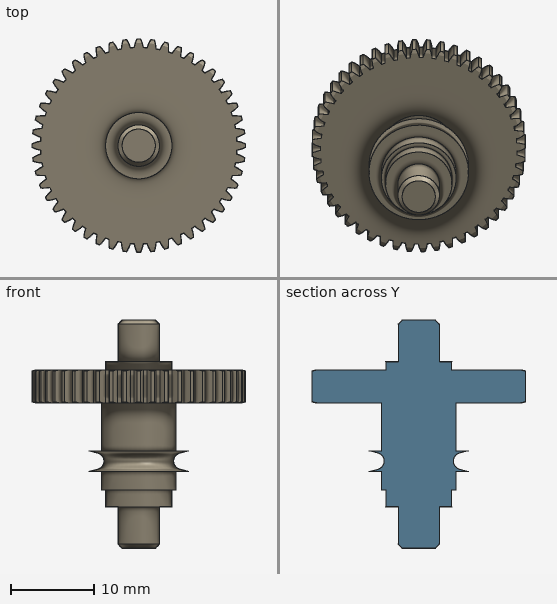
import cadquery as cq
import math

overall_height = 27.5
journal_diameter = 5.0
end_chamfer = 0.5
collar_diameter = 8.0
hub_diameter = 9.0

lower_collar_bottom = 5.0
hub_bottom = 7.0
pulley_bottom = 9.25
pulley_width = 2.5
gear_bottom = 17.5
gear_width = 4.0
upper_collar_height = 1.0
gear_top = gear_bottom + gear_width
upper_collar_top = gear_top + upper_collar_height

pulley_diameter = 12.0
groove_floor_diameter = 8.4
groove_radius = 1.0
flank_angle = math.radians(15)

tooth_count = 48
gear_diameter = 25.72
module = gear_diameter / (tooth_count + 2)
dedendum = 0.5
thickness_allowance = 0.045
pressure_angle = math.radians(20)
tip_radius = gear_diameter / 2
pitch_radius = module * tooth_count / 2
root_radius = pitch_radius - dedendum
base_radius = pitch_radius * math.cos(pressure_angle)
tip_bevel_depth = 0.5
tip_bevel_angle = math.radians(15)


def cylinder(diameter, bottom, top):
    return cq.Workplane("XY").workplane(offset=bottom).circle(diameter / 2).extrude(top - bottom)


def polar(radius, angle):
    return (radius * math.cos(angle), radius * math.sin(angle))


def involute(angle):
    return math.tan(angle) - angle


def half_tooth_angle(radius):
    """Angle from the tooth centreline to its involute flank at a given radius."""
    roll_angle = math.acos(base_radius / radius)
    pitch_thickness = math.pi * module / 2 + thickness_allowance
    pitch_half_angle = pitch_thickness / (2 * pitch_radius)
    return pitch_half_angle + involute(pressure_angle) - involute(roll_angle)


def make_shaft():
    journal = cylinder(journal_diameter, 0, overall_height).faces("<Z or >Z").chamfer(end_chamfer)
    collars = cylinder(collar_diameter, lower_collar_bottom, upper_collar_top)
    hub = cylinder(hub_diameter, hub_bottom, gear_bottom)
    return journal.union(collars).union(hub)


def make_groove_cutter():
    """Ring that cuts the groove out of the pulley."""
    rim_radius = pulley_diameter / 2
    floor_radius = groove_floor_diameter / 2
    middle = pulley_bottom + pulley_width / 2
    tangent_radius = floor_radius + groove_radius * (1 - math.sin(flank_angle))
    tangent_height = groove_radius * math.cos(flank_angle)
    profile = (
        cq.Workplane("XZ")
        .moveTo(rim_radius, pulley_bottom)
        .lineTo(tangent_radius, middle - tangent_height)
        .threePointArc((floor_radius, middle), (tangent_radius, middle + tangent_height))
        .lineTo(rim_radius, pulley_bottom + pulley_width)
        .close()
    )
    return profile.revolve(360, (0, 0, 0), (0, 1, 0))


def make_gear_blank():
    """Disc whose rim is bevelled on both faces across the tooth tips."""
    bevel_radius = tip_radius - tip_bevel_depth
    bevel_height = tip_bevel_depth * math.tan(tip_bevel_angle)
    profile = cq.Workplane("XZ").polyline([
        (0, gear_bottom),
        (bevel_radius, gear_bottom),
        (tip_radius, gear_bottom + bevel_height),
        (tip_radius, gear_top - bevel_height),
        (bevel_radius, gear_top),
        (0, gear_top),
    ]).close()
    return profile.revolve(360, (0, 0, 0), (0, 1, 0))


def make_toothed_prism():
    tooth_pitch = 2 * math.pi / tooth_count
    root_half = half_tooth_angle(root_radius)
    pitch_half = half_tooth_angle(pitch_radius)
    tip_half = half_tooth_angle(tip_radius)
    outline = cq.Workplane("XY").workplane(offset=gear_bottom).moveTo(*polar(root_radius, -root_half))
    for index in range(tooth_count):
        centre = index * tooth_pitch
        next_centre = centre + tooth_pitch
        outline = (
            outline
            .threePointArc(polar(pitch_radius, centre - pitch_half), polar(tip_radius, centre - tip_half))
            .threePointArc(polar(tip_radius, centre), polar(tip_radius, centre + tip_half))
            .threePointArc(polar(pitch_radius, centre + pitch_half), polar(root_radius, centre + root_half))
            .threePointArc(
                polar(root_radius, centre + tooth_pitch / 2),
                polar(root_radius, next_centre - root_half),
            )
        )
    return outline.close().extrude(gear_width)


shaft = make_shaft()
pulley = cylinder(pulley_diameter, pulley_bottom, pulley_bottom + pulley_width)
gear = make_toothed_prism().intersect(make_gear_blank())

result = shaft.union(pulley).cut(make_groove_cutter()).union(gear)